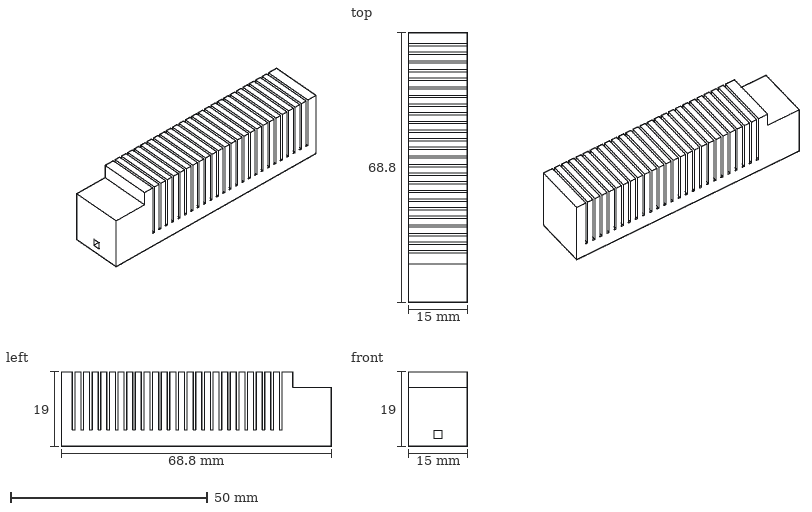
import cadquery as cq

width = 15.0
length = 68.8
height = 19.0

step_length = 9.8
step_drop = 4.0

slot_count = 25
end_wall = 2.8
slot_width = 0.6
slot_floor_height = 4.2

hole_side = 2.0
hole_bottom_height = 2.0
hole_depth = 9.8

first_slot_start = step_length + end_wall
last_slot_start = length - end_wall - slot_width
slot_pitch = (last_slot_start - first_slot_start) / (slot_count - 1)


def box_from(y_start, y_size, z_start, z_size, x_size=width):
    """Box centred on X that starts at the given Y and Z."""
    return (
        cq.Workplane("XY")
        .box(x_size, y_size, z_size, centered=(True, False, False))
        .translate((0, y_start, z_start))
    )


body = box_from(0, length, 0, height)
body = body.cut(box_from(0, step_length, height - step_drop, step_drop))

for index in range(slot_count):
    slot_start = first_slot_start + index * slot_pitch
    body = body.cut(box_from(slot_start, slot_width, slot_floor_height, height - slot_floor_height))

body = body.cut(box_from(0, hole_depth, hole_bottom_height, hole_side, hole_side))

result = body